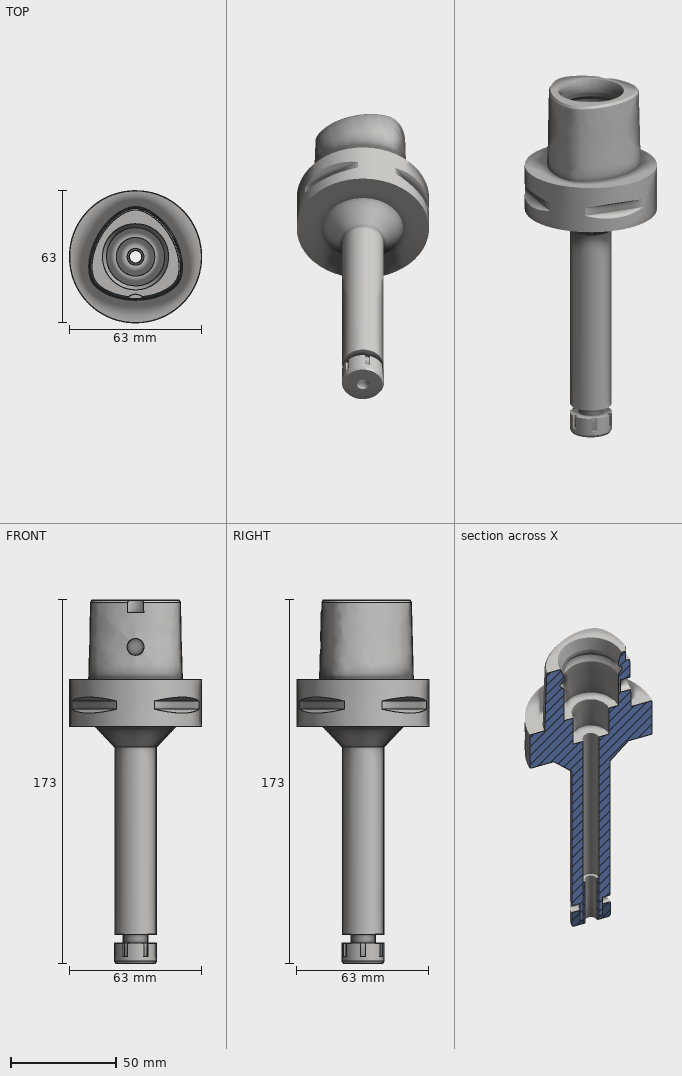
import cadquery as cq
import math

TOTAL_LENGTH = 173.0

TAPER_LENGTH = 37.7
LOBE_MEAN_RADIUS = 22.3
LOBE_RISE = 1.6
TAPER_RATIO = 1 / 40
LOBE_POINTS = 36
RIM_BEVEL_HEIGHT = 1.2
RIM_BEVEL_INSET = 0.7

FLANGE_RADIUS = 31.5
FLANGE_HEIGHT = 22.5
NOTCH_COUNT = 4
NOTCH_FLOOR_DISTANCE = 27.7
NOTCH_FLOOR_HEIGHT = 3.8
NOTCH_MOUTH_HEIGHT = 7.6
NOTCH_DROP = 12.3

CONE_RADIUS = 19.2
CONE_HEIGHT = 9.9
SHAFT_RADIUS = 9.9
SHAFT_END = 13.8
NOSE_RADIUS = 5.9

MOUTH_RADIUS = 15.7
BORE_RADIUS = 13.8
MOUTH_DEPTH = 6.2
GROOVE_START = 8.1
GROOVE_WALL_START = 10.2
GROOVE_WALL_END = 11.5
GROOVE_END = 14.0
BORE_DEPTH = 34.6
STEP_RADIUS = 9.2
STEP_DEPTH = 51.9

KEY_RADIUS = 5.0
KEY_DEPTH = 6.0
KEY_AXIS_Y = -22.8
DIMPLE_RADIUS = 4.0
DIMPLE_DROP = 22.3
DIMPLE_FLOOR_Y = -15.2

COLLET_RADIUS = 4.0
COLLET_BORE_RADIUS = 3.0
COLLET_LENGTH = 27.7

NUT_RADIUS = 10.0
NUT_HEIGHT = 9.7
NUT_LIP_HEIGHT = 2.0
NUT_BEVEL_HEIGHT = 1.2
NUT_BEVEL_INSET = 0.7
NUT_SLOT_COUNT = 6
NUT_SLOT_WIDTH = 2.5
NUT_SLOT_DEPTH = 1.4
NUT_SLOT_FLOOR = 3.3

FLANGE_TOP = TOTAL_LENGTH - TAPER_LENGTH
FLANGE_BOTTOM = FLANGE_TOP - FLANGE_HEIGHT


def revolve_profile(points):
    """Solid of revolution about Z from (radius, height) points."""
    return cq.Workplane("XZ").polyline(points).close().revolve(360, (0, 0), (0, 1))


def lobe_point(mean_radius, angle):
    """Point of the constant-width lobed curve whose outward normal is at this angle."""
    support = mean_radius - LOBE_RISE * math.sin(3 * angle)
    slope = -3 * LOBE_RISE * math.cos(3 * angle)
    x = support * math.cos(angle) - slope * math.sin(angle)
    y = support * math.sin(angle) + slope * math.cos(angle)
    return x, y


def lobe_loft(bottom_z, bottom_radius, top_z, top_radius):
    """Straight-sided solid between two lobed outlines, one lobe pointing to +Y."""
    angles = [-math.pi / 2 + 2 * math.pi * i / LOBE_POINTS for i in range(LOBE_POINTS)]
    bottom = [lobe_point(bottom_radius, angle) for angle in angles]
    top = [lobe_point(top_radius, angle) for angle in angles]
    return (
        cq.Workplane("XY", origin=(0, 0, bottom_z))
        .spline(bottom, periodic=True).close()
        .workplane(offset=top_z - bottom_z)
        .spline(top, periodic=True).close()
        .loft(ruled=True)
    )


def make_taper_shank():
    bevel_z = TOTAL_LENGTH - RIM_BEVEL_HEIGHT
    bevel_radius = LOBE_MEAN_RADIUS - TAPER_RATIO * (bevel_z - FLANGE_TOP)
    cone = lobe_loft(FLANGE_TOP, LOBE_MEAN_RADIUS, bevel_z, bevel_radius)
    rim = lobe_loft(bevel_z, bevel_radius, TOTAL_LENGTH, bevel_radius - RIM_BEVEL_INSET)
    return cone.union(rim)


def make_lower_body():
    """Flange, neck-down cone, shaft and nose."""
    return revolve_profile([
        (0, NUT_LIP_HEIGHT),
        (NOSE_RADIUS, NUT_LIP_HEIGHT),
        (NOSE_RADIUS, SHAFT_END),
        (SHAFT_RADIUS, SHAFT_END),
        (SHAFT_RADIUS, FLANGE_BOTTOM - CONE_HEIGHT),
        (CONE_RADIUS, FLANGE_BOTTOM),
        (FLANGE_RADIUS, FLANGE_BOTTOM),
        (FLANGE_RADIUS, FLANGE_TOP),
        (0, FLANGE_TOP),
    ])


def make_bore():
    """Cone mouth, clamping groove, stepped bore and the through channel."""
    return revolve_profile([
        (0, TOTAL_LENGTH),
        (MOUTH_RADIUS, TOTAL_LENGTH),
        (BORE_RADIUS, TOTAL_LENGTH - MOUTH_DEPTH),
        (BORE_RADIUS, TOTAL_LENGTH - GROOVE_START),
        (MOUTH_RADIUS, TOTAL_LENGTH - GROOVE_WALL_START),
        (MOUTH_RADIUS, TOTAL_LENGTH - GROOVE_WALL_END),
        (BORE_RADIUS, TOTAL_LENGTH - GROOVE_END),
        (BORE_RADIUS, TOTAL_LENGTH - BORE_DEPTH),
        (STEP_RADIUS, TOTAL_LENGTH - BORE_DEPTH),
        (STEP_RADIUS, TOTAL_LENGTH - STEP_DEPTH),
        (COLLET_RADIUS, TOTAL_LENGTH - STEP_DEPTH),
        (COLLET_RADIUS, 0),
        (0, 0),
    ])


def make_gripper_notch(angle):
    """Flat-floored notch with flared sides, cut straight across the flange edge."""
    mouth_half = NOTCH_MOUTH_HEIGHT / 2
    floor_half = NOTCH_FLOOR_HEIGHT / 2
    return (
        cq.Workplane("XZ")
        .polyline([
            (NOTCH_FLOOR_DISTANCE, -floor_half),
            (FLANGE_RADIUS, -mouth_half),
            (FLANGE_RADIUS, mouth_half),
            (NOTCH_FLOOR_DISTANCE, floor_half),
        ])
        .close()
        .extrude(FLANGE_RADIUS, both=True)
        .translate((0, 0, FLANGE_TOP - NOTCH_DROP))
        .rotate((0, 0, 0), (0, 0, 1), angle)
    )


def make_key_recess():
    return (
        cq.Workplane("XY", origin=(0, KEY_AXIS_Y, TOTAL_LENGTH - KEY_DEPTH))
        .circle(KEY_RADIUS)
        .extrude(KEY_DEPTH)
    )


def make_dimple():
    return (
        cq.Workplane("XZ", origin=(0, DIMPLE_FLOOR_Y, TOTAL_LENGTH - DIMPLE_DROP))
        .circle(DIMPLE_RADIUS)
        .extrude(FLANGE_RADIUS)
    )


def make_holder():
    body = make_taper_shank().union(make_lower_body()).cut(make_bore())
    for i in range(NOTCH_COUNT):
        body = body.cut(make_gripper_notch((i + 0.5) * 360 / NOTCH_COUNT))
    return body.cut(make_key_recess()).cut(make_dimple())


def make_collet():
    """Plain sleeve seated in the channel of the holder, flush with the nut end."""
    return cq.Workplane("XY").circle(COLLET_RADIUS).circle(COLLET_BORE_RADIUS).extrude(COLLET_LENGTH)


def make_nut():
    """Cap around the nose, with a lip below it and wrench slots down its side."""
    nut = revolve_profile([
        (COLLET_RADIUS, 0),
        (NUT_RADIUS - NUT_BEVEL_INSET, 0),
        (NUT_RADIUS, NUT_BEVEL_HEIGHT),
        (NUT_RADIUS, NUT_HEIGHT),
        (NOSE_RADIUS, NUT_HEIGHT),
        (NOSE_RADIUS, NUT_LIP_HEIGHT),
        (COLLET_RADIUS, NUT_LIP_HEIGHT),
    ])
    slot = cq.Workplane("XY").box(
        2 * NUT_SLOT_DEPTH, NUT_SLOT_WIDTH, NUT_HEIGHT - NUT_SLOT_FLOOR, centered=(True, True, False)
    ).translate((NUT_RADIUS, 0, NUT_SLOT_FLOOR))
    for i in range(NUT_SLOT_COUNT):
        nut = nut.cut(slot.rotate((0, 0, 0), (0, 0, 1), i * 360 / NUT_SLOT_COUNT))
    return nut


holder = make_holder()
collet = make_collet()
nut = make_nut()

result = cq.Compound.makeCompound([holder.val(), collet.val(), nut.val()])